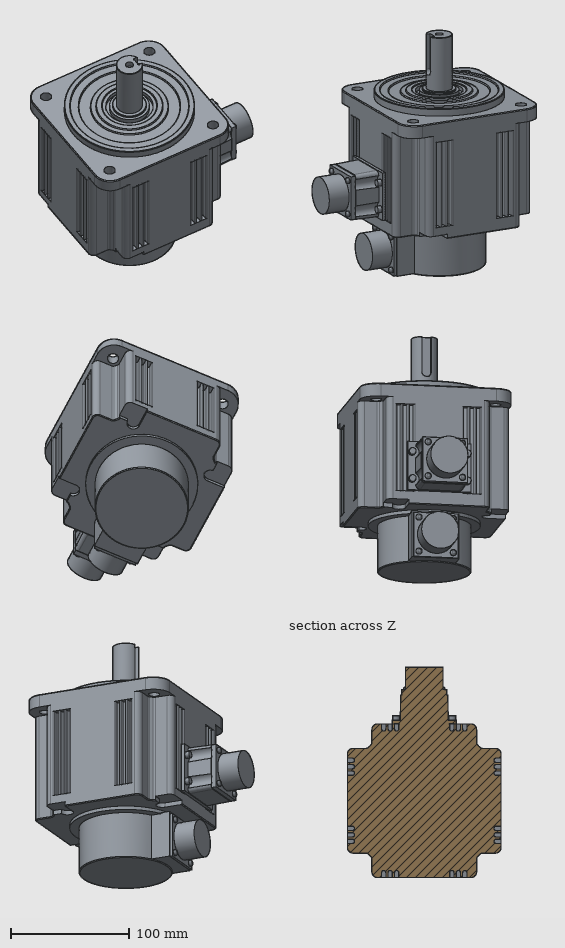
import cadquery as cq
import math


SHAFT_TOP_Z = 202.5
COLLAR_TOP_Z = 155.0
PILOT_TOP_Z = 153.5
FLANGE_TOP_Z = 147.0
FLANGE_BOTTOM_Z = 135.7
FIN_TOP_Z = 129.8
FIN_BOTTOM_Z = 54.3
BODY_BOTTOM_Z = 43.1
COVER_DISC_BOTTOM_Z = 40.0

BODY_SIDE = 130.0
HALF_SIDE = BODY_SIDE / 2
FLANGE_CORNER_RADIUS = 15.4
EDGE_CHAMFER = 0.8
BOLT_HOLE_DIAMETER = 9.3
BOLT_HOLE_OFFSET = 51.2

NOTCH_WALL = 44.3
NOTCH_INFILL = 3.6
NOTCH_INNER_RADIUS = 2.5
NOTCH_EDGE_RADIUS = 5.0

GROOVE_WIDTH = 3.5
GROOVE_DEPTH = 6.0
GROOVE_MOUTH_RADIUS = 0.91
GROOVE_PITCH = 5.5
GROOVE_GROUP_CENTER = 28.8

POCKET_HEIGHT = 3.8
POCKET_WALL = 49.2
POCKET_BOLT_X = 31.2
POCKET_BOLT_RADIUS = 5.5

PILOT_RADIUS = 55.0
PILOT_CHAMFER = 0.6
RING_STEP = 1.0
RING_SLOPE = 0.7
OUTER_STEP_RADII = (50.2, 43.0)
INNER_STEP_RADII = (32.8, 28.1)
RECESS_EDGE_RADIUS = 22.9
RECESS_EDGE_DEPTH = 0.6
COLLAR_RECESS_RADIUS = 20.0
COLLAR_RECESS_DEPTH = 4.0

SHAFT_RADIUS = 11.1
SHAFT_CHAMFER = 0.5
SHOULDER_RADIUS = 16.8
COLLAR_RADIUS = 14.4
KEYWAY_WIDTH = 8.0
KEYWAY_FLOOR_Y = 6.5
KEYWAY_END_Z = 167.7
CENTER_HOLE_RADIUS = 3.2
CENTER_HOLE_DEPTH = 8.0

COVER_DISC_RADIUS = 47.4
COVER_RADIUS = 39.5
COVER_BLOCK_WIDTH = 40.5
COVER_BLOCK_END_Y = 50.6
COVER_BLOCK_BOTTOM_Z = 0.8
COVER_BLOCK_TOP_Z = 41.0
COVER_CHAMFER = 0.8

SOCKET_RADIUS = 16.0
SOCKET_LENGTH = 18.8
CONNECTOR_PLATE_SIDE = 38.3
SCREW_OFFSET = 14.8
SCREW_RADIUS = 2.6
SCREW_HEIGHT = 2.2
SCREW_ROUNDING = 1.5

SIGNAL_CONNECTOR_Z = 20.0
SIGNAL_PLATE_THICKNESS = 2.2

POWER_CONNECTOR_Z = 75.7
POWER_PLATE_THICKNESS = 4.5
POWER_END_Y = 177.8 - HALF_SIDE
POWER_BASE_WIDTH = 54.3
POWER_BASE_HEIGHT = 42.0
POWER_BASE_THICKNESS = 3.0
POWER_BOX_SIDE = 41.0
POWER_BOX_CORNER_RADIUS = 3.8
POWER_BOX_DRAFT = 1.5
POWER_BOLT_X = 23.7
POWER_BOLT_Z = 11.7
POWER_BOLT_RADIUS = 2.94
POWER_BOLT_HEIGHT = 3.8
POWER_SCALLOP_RADIUS = 6.0

FACE_ANGLES = (0, 90, 180, 270)
SIDES = (-1, 1)


def about_axis(solid, angle):
    """Turn a workplane's solid about the motor axis."""
    return solid.rotate((0, 0, 0), (0, 0, 1), angle)


def facing_back(y, z):
    """Workplane at the given Y, centred on X = 0, with normal +Y and local Y along +Z."""
    return cq.Workplane(cq.Plane(origin=(0, y, z), xDir=(-1, 0, 0), normal=(0, 1, 0)))


def disc(radius, bottom, top):
    """Upright cylinder on the motor axis."""
    return cq.Workplane("XY", origin=(0, 0, bottom)).circle(radius).extrude(top - bottom)


def corner_notch():
    """Cutter for one corner, with a rounded infill across its inner corner."""
    far = HALF_SIDE + 2
    infill_end = NOTCH_WALL + NOTCH_INFILL
    outline = [
        (infill_end, NOTCH_WALL),
        (far, NOTCH_WALL),
        (far, far),
        (NOTCH_WALL, far),
        (NOTCH_WALL, infill_end),
    ]
    return (
        cq.Workplane("XY", origin=(0, 0, BODY_BOTTOM_Z))
        .polyline(outline)
        .close()
        .extrude(FLANGE_BOTTOM_Z - BODY_BOTTOM_Z)
        .edges(cq.selectors.BoxSelector((0, 0, 0), (infill_end + 0.2, infill_end + 0.2, SHAFT_TOP_Z)))
        .edges("|Z")
        .fillet(NOTCH_INNER_RADIUS)
    )


def cooling_groove(x):
    """Cutter for one round-bottomed groove in the -Y face, with a rounded mouth."""
    half = GROOVE_WIDTH / 2
    mouth = half + GROOVE_MOUTH_RADIUS
    arc_offset = GROOVE_MOUTH_RADIUS * math.sqrt(0.5)
    arc_x = mouth - arc_offset
    arc_y = GROOVE_MOUTH_RADIUS - arc_offset
    return (
        cq.Workplane("XY", origin=(x, -HALF_SIDE, FIN_BOTTOM_Z))
        .moveTo(-mouth, 0)
        .threePointArc((-arc_x, arc_y), (-half, GROOVE_MOUTH_RADIUS))
        .lineTo(-half, GROOVE_DEPTH - half)
        .threePointArc((0, GROOVE_DEPTH), (half, GROOVE_DEPTH - half))
        .lineTo(half, GROOVE_MOUTH_RADIUS)
        .threePointArc((arc_x, arc_y), (mouth, 0))
        .close()
        .extrude(FIN_TOP_Z - FIN_BOTTOM_Z)
    )


def tie_bolt_pocket():
    """Cutter for the bottom-edge pocket of the -Y face, open to the corner notch."""
    length = HALF_SIDE - POCKET_BOLT_X + POCKET_BOLT_RADIUS
    depth = HALF_SIDE - POCKET_WALL
    corner = cq.Workplane("XY", origin=(-HALF_SIDE, -HALF_SIDE, BODY_BOTTOM_Z))
    channel = corner.box(length, depth, POCKET_HEIGHT, centered=False)
    bolt_seat = (
        cq.Workplane("XY", origin=(-POCKET_BOLT_X, -POCKET_WALL, BODY_BOTTOM_Z))
        .circle(POCKET_BOLT_RADIUS)
        .extrude(POCKET_HEIGHT)
    )
    return channel.union(bolt_seat)


def motor_body():
    """Notched and grooved square column below the flange."""
    body = cq.Workplane("XY", origin=(0, 0, BODY_BOTTOM_Z)).box(
        BODY_SIDE, BODY_SIDE, FLANGE_BOTTOM_Z - BODY_BOTTOM_Z, centered=(True, True, False)
    )
    notch = corner_notch()
    for angle in FACE_ANGLES:
        body = body.cut(about_axis(notch, angle))
    outer_edges = [
        edge
        for edge in body.edges("|Z").vals()
        if max(abs(edge.Center().x), abs(edge.Center().y)) > HALF_SIDE - EDGE_CHAMFER
    ]
    body = body.newObject(outer_edges).fillet(NOTCH_EDGE_RADIUS)
    body = body.faces("<Z").edges().chamfer(EDGE_CHAMFER)

    pocket = tie_bolt_pocket()
    grooves = [
        cooling_groove(side * GROOVE_GROUP_CENTER + step * GROOVE_PITCH)
        for side in SIDES
        for step in (-1, 0, 1)
    ]
    for angle in FACE_ANGLES:
        body = body.cut(about_axis(pocket, angle))
        for groove in grooves:
            body = body.cut(about_axis(groove, angle))
    return body


def flange():
    """Mounting flange with four bolt holes, joined to the ungrooved top of the body."""
    bolt_spacing = 2 * BOLT_HOLE_OFFSET
    return (
        cq.Workplane("XY", origin=(0, 0, FLANGE_BOTTOM_Z))
        .rect(BODY_SIDE, BODY_SIDE)
        .extrude(FLANGE_TOP_Z - FLANGE_BOTTOM_Z)
        .edges("|Z")
        .fillet(FLANGE_CORNER_RADIUS)
        .faces(">Z")
        .edges()
        .chamfer(EDGE_CHAMFER)
        .faces(">Z")
        .workplane()
        .rect(bolt_spacing, bolt_spacing, forConstruction=True)
        .vertices()
        .hole(BOLT_HOLE_DIAMETER)
    )


def pilot():
    """Pilot disc whose face steps down to a ring-shaped valley and up again towards the shaft."""
    base_z = FLANGE_TOP_Z
    profile = [(0, base_z), (PILOT_RADIUS, base_z), (PILOT_RADIUS, PILOT_TOP_Z - PILOT_CHAMFER)]
    profile.append((PILOT_RADIUS - PILOT_CHAMFER, PILOT_TOP_Z))
    level = PILOT_TOP_Z
    for radius in OUTER_STEP_RADII:
        profile.append((radius + RING_SLOPE / 2, level))
        level -= RING_STEP
        profile.append((radius - RING_SLOPE / 2, level))
    for radius in INNER_STEP_RADII:
        profile.append((radius + RING_SLOPE / 2, level))
        level += RING_STEP
        profile.append((radius - RING_SLOPE / 2, level))
    profile.append((RECESS_EDGE_RADIUS + RING_SLOPE, level))
    profile.append((RECESS_EDGE_RADIUS, level - RECESS_EDGE_DEPTH))
    profile.append((0, level - RECESS_EDGE_DEPTH))
    face = cq.Workplane("XZ").polyline(profile).close()
    recess = disc(COLLAR_RECESS_RADIUS, PILOT_TOP_Z - COLLAR_RECESS_DEPTH, PILOT_TOP_Z)
    return face.revolve(360, (0, 0, 0), (0, 1, 0)).cut(recess)


def connector_head(plate_y, plate_thickness, z):
    """Square plate, round socket and four screw heads, pointing along +Y."""
    front_y = plate_y + plate_thickness
    head = facing_back(plate_y, z).rect(CONNECTOR_PLATE_SIDE, CONNECTOR_PLATE_SIDE).extrude(plate_thickness)
    socket = facing_back(front_y, z).circle(SOCKET_RADIUS).extrude(SOCKET_LENGTH)
    screws = (
        facing_back(front_y, z)
        .rect(2 * SCREW_OFFSET, 2 * SCREW_OFFSET, forConstruction=True)
        .vertices()
        .circle(SCREW_RADIUS)
        .extrude(SCREW_HEIGHT)
        .faces(">Y")
        .edges()
        .fillet(SCREW_ROUNDING)
    )
    return head.union(screws).union(socket)


def power_connector():
    """Bolted base plate and tapered box that carry the power connector on the +Y face."""
    plate_y = POWER_END_Y - SOCKET_LENGTH - POWER_PLATE_THICKNESS
    box_y = HALF_SIDE + POWER_BASE_THICKNESS
    base = (
        facing_back(HALF_SIDE, POWER_CONNECTOR_Z)
        .rect(POWER_BASE_WIDTH, POWER_BASE_HEIGHT)
        .extrude(POWER_BASE_THICKNESS)
    )
    box = (
        facing_back(box_y, POWER_CONNECTOR_Z)
        .sketch()
        .rect(POWER_BOX_SIDE, POWER_BOX_SIDE)
        .vertices()
        .fillet(POWER_BOX_CORNER_RADIUS)
        .finalize()
        .extrude(plate_y - box_y, taper=POWER_BOX_DRAFT)
    )
    bolt_places = facing_back(box_y, POWER_CONNECTOR_Z).rect(
        2 * POWER_BOLT_X, 2 * POWER_BOLT_Z, forConstruction=True
    ).vertices()
    scallops = bolt_places.circle(POWER_SCALLOP_RADIUS).extrude(plate_y - box_y)
    bolts = bolt_places.circle(POWER_BOLT_RADIUS).extrude(POWER_BOLT_HEIGHT)
    head = connector_head(plate_y, POWER_PLATE_THICKNESS, POWER_CONNECTOR_Z)
    return box.cut(scallops).union(base).union(bolts).union(head)


def encoder_cover():
    """Round cover under the body, with a side block for the signal connector."""
    cap = disc(COVER_DISC_RADIUS, COVER_DISC_BOTTOM_Z, BODY_BOTTOM_Z)
    cover = disc(COVER_RADIUS, 0, COVER_DISC_BOTTOM_Z).faces("<Z").edges().chamfer(COVER_CHAMFER)
    block = cq.Workplane("XY", origin=(0, COVER_BLOCK_END_Y / 2, COVER_BLOCK_BOTTOM_Z)).box(
        COVER_BLOCK_WIDTH,
        COVER_BLOCK_END_Y,
        COVER_BLOCK_TOP_Z - COVER_BLOCK_BOTTOM_Z,
        centered=(True, True, False),
    )
    head = connector_head(COVER_BLOCK_END_Y, SIGNAL_PLATE_THICKNESS, SIGNAL_CONNECTOR_Z)
    return cap.union(cover).union(block).union(head)


def build_motor():
    """Everything that stands still, as one solid."""
    motor = motor_body().union(flange()).union(pilot())
    return motor.union(encoder_cover()).union(power_connector())


def build_shaft():
    """Keyed shaft whose stepped shoulder stands in the pilot recess with a gap around it."""
    shoulder = disc(SHOULDER_RADIUS, PILOT_TOP_Z - COLLAR_RECESS_DEPTH, PILOT_TOP_Z)
    collar = disc(COLLAR_RADIUS, PILOT_TOP_Z, COLLAR_TOP_Z).faces(">Z").edges().chamfer(SHAFT_CHAMFER)
    rod = disc(SHAFT_RADIUS, COLLAR_TOP_Z, SHAFT_TOP_Z).faces(">Z").edges().chamfer(SHAFT_CHAMFER)
    shaft = shoulder.union(collar).union(rod)

    half_key = KEYWAY_WIDTH / 2
    round_center_z = KEYWAY_END_Z + half_key
    keyway = (
        facing_back(KEYWAY_FLOOR_Y, 0)
        .moveTo(-half_key, SHAFT_TOP_Z)
        .lineTo(-half_key, round_center_z)
        .threePointArc((0, KEYWAY_END_Z), (half_key, round_center_z))
        .lineTo(half_key, SHAFT_TOP_Z)
        .close()
        .extrude(SHAFT_RADIUS)
    )

    hole_bottom_z = SHAFT_TOP_Z - CENTER_HOLE_DEPTH
    center_hole = (
        cq.Workplane("XZ")
        .moveTo(0, hole_bottom_z)
        .lineTo(CENTER_HOLE_RADIUS, hole_bottom_z + CENTER_HOLE_RADIUS)
        .lineTo(CENTER_HOLE_RADIUS, SHAFT_TOP_Z)
        .lineTo(0, SHAFT_TOP_Z)
        .close()
        .revolve(360, (0, 0, 0), (0, 1, 0))
    )
    return shaft.cut(keyway).cut(center_hole)


motor = build_motor()
shaft = build_shaft()
result = cq.Compound.makeCompound([motor.solids().val(), shaft.solids().val()])